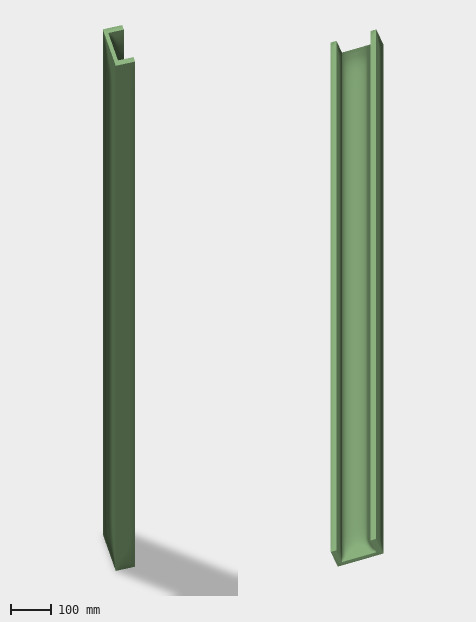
import cadquery as cq

length = 2000.0
width = 120.0
depth = 50.0
web_thickness = 10.0
flange_thickness = 15.0

bar = cq.Workplane("XY").box(width, depth, length)

trough_width = width - 2 * flange_thickness
trough_depth = depth - web_thickness
trough = (
    cq.Workplane("XY")
    .box(trough_width, trough_depth, length)
    .translate((0, web_thickness / 2, 0))
)

result = bar.cut(trough)